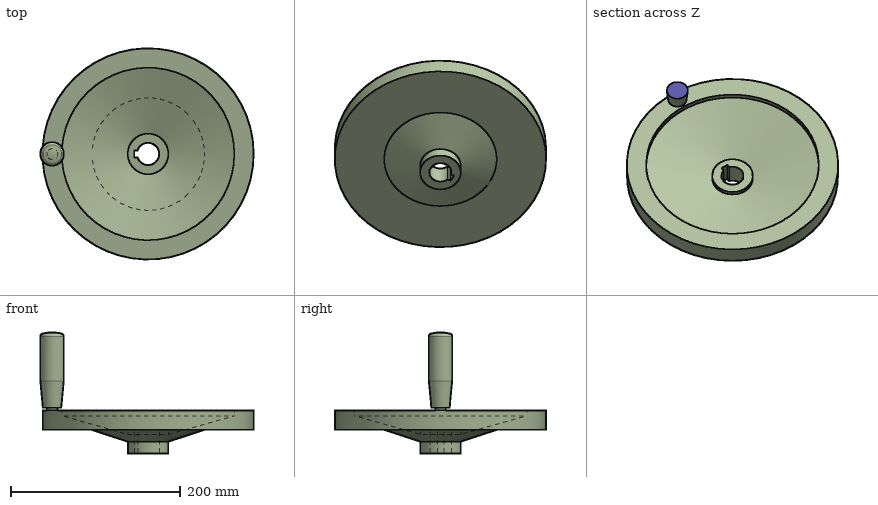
import cadquery as cq
import math

RIM_RADIUS = 125.0
RIM_SECTION = 23.0
RIM_INNER_RADIUS = RIM_RADIUS - RIM_SECTION
HUB_RADIUS = 24.0
HUB_HEIGHT = 28.0
RIM_BOTTOM_Z = HUB_HEIGHT
RIM_TOP_Z = RIM_BOTTOM_Z + RIM_SECTION

WEB_LOWER_HUB_Z = 14.0
WEB_LOWER_RIM_RADIUS = 66.5
HUB_RISE = 5.0
WEB_UPPER_HUB_Z = HUB_HEIGHT - HUB_RISE
RIM_WALL_DEPTH = 6.0
WEB_UPPER_RIM_Z = RIM_TOP_Z - RIM_WALL_DEPTH

BORE_RADIUS = 13.0
KEYWAY_WIDTH = 8.0
KEYWAY_DEPTH = 3.3

HANDLE_X = -(RIM_RADIUS - RIM_SECTION / 2)
GRIP_RADIUS = 14.0
GRIP_FOOT_RADIUS = 11.0
GRIP_FOOT_FILLET = 0.5
GRIP_CROWN_RADIUS = 11.0
NECK_RADIUS = 6.5
NECK_HEIGHT = 3.0
TAPER_TOP = 35.0
SHOULDER_BOTTOM = 87.5
CROWN_EDGE = 91.0
HANDLE_HEIGHT = 92.5


def make_wheel():
    """Turned wheel blank; the web fills the space between two cones of slightly different slope."""
    profile = (
        cq.Workplane("XZ")
        .moveTo(0, 0)
        .lineTo(HUB_RADIUS, 0)
        .lineTo(HUB_RADIUS, WEB_LOWER_HUB_Z)
        .lineTo(WEB_LOWER_RIM_RADIUS, RIM_BOTTOM_Z)
        .lineTo(RIM_RADIUS, RIM_BOTTOM_Z)
        .lineTo(RIM_RADIUS, RIM_TOP_Z)
        .lineTo(RIM_INNER_RADIUS, RIM_TOP_Z)
        .lineTo(RIM_INNER_RADIUS, WEB_UPPER_RIM_Z)
        .lineTo(HUB_RADIUS, WEB_UPPER_HUB_Z)
        .lineTo(HUB_RADIUS, HUB_HEIGHT)
        .lineTo(0, HUB_HEIGHT)
        .close()
    )
    return profile.revolve(360, (0, 0, 0), (0, 1, 0))


def make_bore():
    bore = cq.Workplane("XY").circle(BORE_RADIUS).extrude(HUB_HEIGHT)
    keyway_reach = BORE_RADIUS + KEYWAY_DEPTH
    keyway = cq.Workplane("XY").box(keyway_reach, KEYWAY_WIDTH, HUB_HEIGHT, centered=(False, True, False))
    return bore.union(keyway.translate((-keyway_reach, 0, 0)))


def make_handle():
    """Turned handle standing on the rim; heights are measured from the rim top."""
    crown_rise = HANDLE_HEIGHT - CROWN_EDGE
    crown_dome_radius = (GRIP_CROWN_RADIUS**2 + crown_rise**2) / (2 * crown_rise)
    half_angle = math.asin(GRIP_CROWN_RADIUS / crown_dome_radius) / 2
    crown_midpoint = (
        crown_dome_radius * math.sin(half_angle),
        HANDLE_HEIGHT - crown_dome_radius * (1 - math.cos(half_angle)),
    )
    profile = (
        cq.Workplane("XZ")
        .moveTo(0, 0)
        .lineTo(NECK_RADIUS, 0)
        .lineTo(NECK_RADIUS, NECK_HEIGHT)
        .lineTo(GRIP_FOOT_RADIUS, NECK_HEIGHT)
        .lineTo(GRIP_RADIUS, TAPER_TOP)
        .lineTo(GRIP_RADIUS, SHOULDER_BOTTOM)
        .tangentArcPoint((GRIP_CROWN_RADIUS, CROWN_EDGE), relative=False)
        .threePointArc(crown_midpoint, (0, HANDLE_HEIGHT))
        .close()
    )
    handle = profile.revolve(360, (0, 0, 0), (0, 1, 0))
    underside = handle.faces("%PLANE").faces(">Z")
    foot_rim = underside.edges(cq.selectors.RadiusNthSelector(-1))
    handle = foot_rim.fillet(GRIP_FOOT_FILLET)
    return handle.translate((HANDLE_X, 0, RIM_TOP_Z))


result = make_wheel().cut(make_bore()).union(make_handle())